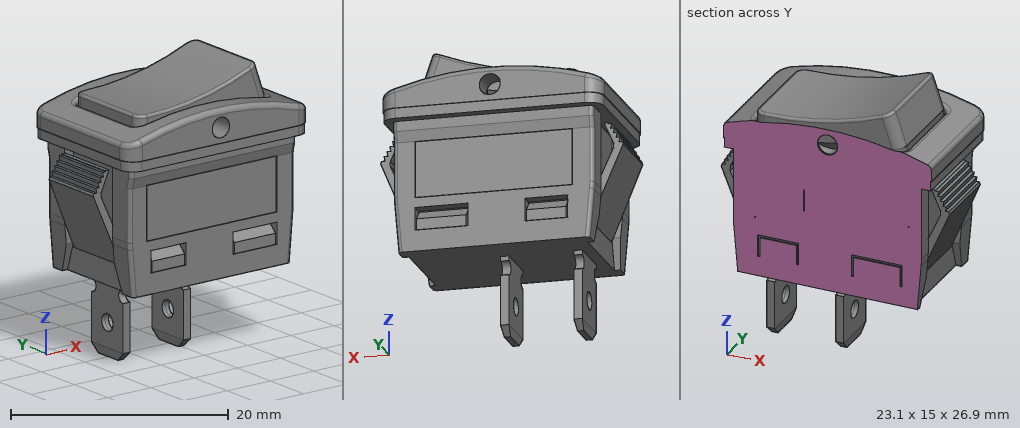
import cadquery as cq
import math


margin = 0.27

bezel_length = 21.07
bezel_width = 15.0
bezel_bottom = 12.53
bezel_step = 13.5
bezel_crown = 16.83
bezel_crown_radius = 32.25
bezel_corner = 1.5
bezel_edge_fillet = 0.55
skirt_inset = 0.08

opening_length = 15.32
opening_width = 10.0
opening_floor = 13.7
opening_corner = 1.02
opening_edge_fillet = 0.38

rocker_half_length = 7.5
rocker_width = 9.78
rocker_corner = 1.0
rocker_edge_fillet = 0.27
dish_radius = 31.45
dish_low_x = -6.45
dish_low_z = 16.8
rocker_tip_x = 6.32
rocker_foot_z = 16.05
rocker_root = 0.27

pivot_diameter = 2.0
pivot_z = 15.03
pin_bevel_rise = 0.13
pin_bevel_tilt = 9.7
pin_bevel_angle = 45.0

housing_length = 19.08
housing_base_length = 18.22
housing_width = 12.3
housing_edge_fillet = 0.38
taper_height = 4.97
taper_blend = 8.06
collar_overhang = 0.27
collar_bottom = 11.55
collar_taper_bottom = 10.55

label_length = 14.97
label_bottom = 5.15
label_depth = 0.1
window_bottom = 2.05
window_top = 4.2
window_spans = ((-7.05, -2.98), (2.45, 7.5))
window_depth = 1.2
latch_left_gap = 0.2
latch_right_gap = 0.1
latch_inset = 0.08
latch_flat_height = 1.08
latch_slope_height = 0.9

channel_width = 7.25
channel_floor_x = 8.52
channel_flare_top = 2.82
channel_flare_width = 9.09
clip_top = 11.75
clip_crest_x = 10.15
clip_first_tooth_z = 11.65
clip_top_x = 9.7
clip_first_tooth_x = 10.43
clip_tooth_count = 4
clip_tooth_pitch = 0.45
clip_tooth_step = 0.27
clip_tooth_undercut = 0.08
clip_elbow_x = 11.55
clip_elbow_z = 9.55
clip_inner_elbow_x = 10.65
clip_inner_elbow_top = 9.73
clip_inner_elbow_bottom = 9.27
clip_foot_z = 2.4
clip_inner_foot_z = 4.57
clip_shoulder_bevel = 0.08
clip_top_width = 6.55
clip_foot_width = 7.1

terminal_xs = (-7.0, 0.0)
terminal_thickness = 0.8
terminal_width = 4.78
terminal_length = 7.47
terminal_tip_width = 2.95
terminal_tip_height = 0.9
terminal_tip_bevel = 0.1
terminal_hole_diameter = 1.7
terminal_hole_z = -4.17
notch_radius = 0.67
notch_z = -1.1


def block(length, width, bottom, top):
    return cq.Workplane("XY", origin=(0, 0, bottom)).rect(length, width).extrude(top - bottom)


def both_sides(shape, plane):
    return shape.union(shape.mirror(plane))


def make_bezel():
    half = bezel_length / 2
    end_z = bezel_crown - bezel_crown_radius + math.sqrt(bezel_crown_radius**2 - half**2)
    crown = (
        cq.Workplane("XZ")
        .moveTo(-half, bezel_step)
        .lineTo(half, bezel_step)
        .lineTo(half, end_z)
        .threePointArc((0, bezel_crown), (-half, end_z))
        .close()
        .extrude(bezel_width / 2, both=True)
        .edges("|Z").fillet(bezel_corner)
    )
    above_sides = cq.selectors.BoxSelector(
        (-half - margin, -bezel_width, end_z - margin),
        (half + margin, bezel_width, bezel_crown + margin),
    )
    crown = crown.edges(above_sides).fillet(bezel_edge_fillet)
    skirt = block(bezel_length - 2 * skirt_inset, bezel_width - 2 * skirt_inset, bezel_bottom, bezel_step)
    skirt = skirt.edges("|Z").fillet(bezel_corner - skirt_inset)
    return crown.union(skirt)


def cut_opening(bezel):
    opening = block(opening_length, opening_width, opening_floor, bezel_crown + margin)
    opening = opening.edges("|Z").fillet(opening_corner)
    bezel = bezel.cut(opening)
    reach_x = opening_length / 2 + margin
    reach_y = opening_width / 2 + margin
    rim = cq.selectors.BoxSelector(
        (-reach_x, -reach_y, pivot_z), (reach_x, reach_y, bezel_crown + margin)
    )
    return bezel.edges(rim).edges("not |Z").fillet(opening_edge_fillet)


def make_rocker():
    def dish_z(x):
        return dish_low_z + dish_radius - math.sqrt(dish_radius**2 - (x - dish_low_x) ** 2)

    tip_z = dish_z(rocker_tip_x)
    profile = (
        cq.Workplane("XZ")
        .moveTo(-rocker_half_length, opening_floor - rocker_root)
        .lineTo(rocker_half_length, opening_floor - rocker_root)
        .lineTo(rocker_half_length, rocker_foot_z)
        .lineTo(rocker_tip_x, tip_z)
        .threePointArc((0, dish_z(0)), (-rocker_half_length, dish_z(-rocker_half_length)))
        .close()
        .extrude(rocker_width / 2, both=True)
    )
    end_corners = profile.edges("%LINE").edges("not(|X or |Y)")
    rocker = profile.newObject(end_corners.vals()).fillet(rocker_corner)
    top_rim = cq.selectors.BoxSelector(
        (-rocker_half_length - margin, -rocker_width, rocker_foot_z + margin),
        (rocker_half_length + margin, rocker_width, tip_z + margin),
    )
    return rocker.edges(top_rim).edges("not #Z").fillet(rocker_edge_fillet)


def drill_pivots(body):
    """Open a hole through each bezel side to a rocker pin whose lower half is bevelled."""
    hole_depth = (bezel_width - rocker_width) / 2
    side = cq.Workplane("XZ", origin=(0, -rocker_width / 2, pivot_z))
    hole = side.circle(pivot_diameter / 2).extrude(hole_depth)
    bevel_depth = pivot_diameter / 2 / math.tan(math.radians(pin_bevel_angle))
    wedge = (
        cq.Workplane("YZ", origin=(0, -rocker_width / 2, pivot_z + pin_bevel_rise))
        .polyline([(0, 0), (0, -pivot_diameter), (2 * bevel_depth, -pivot_diameter)])
        .close()
        .extrude(pivot_diameter, both=True)
        .rotate((0, 0, pivot_z), (0, 1, pivot_z), -pin_bevel_tilt)
    )
    bevel = side.circle(pivot_diameter / 2).extrude(-2 * bevel_depth).intersect(wedge)
    return body.cut(both_sides(hole, "XZ")).cut(both_sides(bevel, "XZ"))


def make_housing():
    half = housing_length / 2
    half_base = housing_base_length / 2
    side_y = housing_width / 2
    collar_y = side_y + collar_overhang
    taper_angle = math.atan((half - half_base) / taper_height)
    blend_reach = taper_blend * math.tan(taper_angle / 2)
    blend_top = taper_height + blend_reach
    blend_x = half - blend_reach * math.sin(taper_angle)
    blend_bottom = taper_height - blend_reach * math.cos(taper_angle)
    long_profile = (
        cq.Workplane("XZ")
        .moveTo(-half_base, 0)
        .lineTo(half_base, 0)
        .lineTo(blend_x, blend_bottom)
        .tangentArcPoint((half, blend_top), relative=False)
        .lineTo(half, bezel_bottom)
        .lineTo(-half, bezel_bottom)
        .lineTo(-half, blend_top)
        .tangentArcPoint((-blend_x, blend_bottom), relative=False)
        .close()
        .extrude(bezel_width / 2, both=True)
    )
    cross_profile = (
        cq.Workplane("YZ")
        .polyline([
            (-side_y, 0), (side_y, 0), (side_y, collar_taper_bottom), (collar_y, collar_bottom),
            (collar_y, bezel_bottom), (-collar_y, bezel_bottom), (-collar_y, collar_bottom),
            (-side_y, collar_taper_bottom),
        ])
        .close()
        .extrude(bezel_length / 2, both=True)
    )
    housing = long_profile.intersect(cross_profile)
    return housing.edges("not(|X or |Y)").fillet(housing_edge_fillet)


def cut_label(body):
    side = cq.Workplane("XY", origin=(0, -housing_width / 2, label_bottom))
    recess = side.box(
        label_length, 2 * label_depth, collar_taper_bottom - label_bottom, centered=(True, True, False)
    )
    return body.cut(both_sides(recess, "XZ"))


def cut_windows(body):
    """Sink the latch windows and leave a ramped latch standing in each."""
    side_y = -housing_width / 2
    latch_y = side_y + latch_inset
    ramp_z = window_bottom + latch_flat_height
    latch_top = ramp_z + latch_slope_height
    for start, end in window_spans:
        window = cq.Workplane("XY").box(
            end - start, window_depth, window_top - window_bottom, centered=False
        ).translate((start, side_y, window_bottom))
        latch_end = end - latch_right_gap
        latch = (
            cq.Workplane("YZ", origin=(start + latch_left_gap, 0, 0))
            .polyline([
                (latch_y, window_bottom), (latch_y, ramp_z), (latch_y + latch_slope_height, latch_top),
                (side_y + window_depth, latch_top), (side_y + window_depth, window_bottom),
            ])
            .close()
            .extrude(latch_end - start - latch_left_gap)
        )
        body = body.cut(both_sides(window.cut(latch), "XZ"))
    return body


def cut_channels(body):
    """Cut the clip channel up each end, flared towards the underside."""
    depth = bezel_length / 2 - channel_floor_x
    half = channel_width / 2
    half_flare = channel_flare_width / 2
    channel = (
        cq.Workplane("YZ", origin=(channel_floor_x, 0, 0))
        .polyline([
            (-half_flare, 0), (half_flare, 0), (half, channel_flare_top), (half, bezel_bottom),
            (-half, bezel_bottom), (-half, channel_flare_top),
        ])
        .close()
        .extrude(depth)
    )
    return body.cut(both_sides(channel, "YZ"))


def make_clip():
    teeth = [(clip_crest_x, clip_top), (clip_crest_x - clip_tooth_undercut, clip_first_tooth_z)]
    for i in range(clip_tooth_count):
        x = clip_first_tooth_x + i * clip_tooth_step
        z = clip_first_tooth_z - i * clip_tooth_pitch
        teeth += [(x, z), (x - clip_tooth_undercut, z - clip_tooth_pitch)]
    shoulder_z = clip_first_tooth_z - clip_tooth_count * clip_tooth_pitch
    shoulder = (clip_elbow_x - clip_shoulder_bevel, shoulder_z)
    profile = (
        cq.Workplane("XZ")
        .polyline([(clip_top_x, clip_top)] + teeth + [
            shoulder, (clip_elbow_x, clip_elbow_z), (channel_floor_x, clip_foot_z),
            (channel_floor_x, clip_inner_foot_z), (clip_inner_elbow_x, clip_inner_elbow_bottom),
            (clip_inner_elbow_x, clip_inner_elbow_top),
        ])
        .close()
        .extrude(clip_foot_width / 2, both=True)
    )
    half_top = clip_top_width / 2
    half_foot = clip_foot_width / 2
    width_outline = (
        cq.Workplane("YZ")
        .polyline([
            (-half_foot, clip_foot_z), (half_foot, clip_foot_z),
            (half_top, clip_top), (-half_top, clip_top),
        ])
        .close()
        .extrude(bezel_length)
    )
    return profile.intersect(width_outline)


def make_terminal(x):
    half = terminal_width / 2
    half_tip = terminal_tip_width / 2
    half_thick = terminal_thickness / 2
    tip_half_thick = half_thick - terminal_tip_bevel
    tip_z = terminal_tip_height - terminal_length
    blade = (
        cq.Workplane("YZ")
        .polyline([
            (-half, 0), (half, 0), (half, tip_z), (half_tip, -terminal_length),
            (-half_tip, -terminal_length), (-half, tip_z),
        ])
        .close()
        .extrude(half_thick, both=True)
    )
    thickness_outline = (
        cq.Workplane("XZ")
        .polyline([
            (-half_thick, 0), (half_thick, 0), (half_thick, tip_z), (tip_half_thick, -terminal_length),
            (-tip_half_thick, -terminal_length), (-half_thick, tip_z),
        ])
        .close()
        .extrude(terminal_width, both=True)
    )
    hole = (
        cq.Workplane("YZ", origin=(0, 0, terminal_hole_z))
        .circle(terminal_hole_diameter / 2)
        .extrude(terminal_thickness, both=True)
    )
    notches = (
        cq.Workplane("YZ", origin=(0, 0, notch_z))
        .pushPoints([(-half, 0), (half, 0)])
        .circle(notch_radius)
        .extrude(terminal_thickness, both=True)
    )
    return blade.intersect(thickness_outline).cut(hole).cut(notches).translate((x, 0, 0))


housing = cut_channels(cut_windows(cut_label(make_housing())))
frame = cut_opening(make_bezel())
result = drill_pivots(frame.union(make_rocker()))
result = result.union(housing)
result = result.union(both_sides(make_clip(), "YZ"))
for terminal_x in terminal_xs:
    result = result.union(make_terminal(terminal_x))